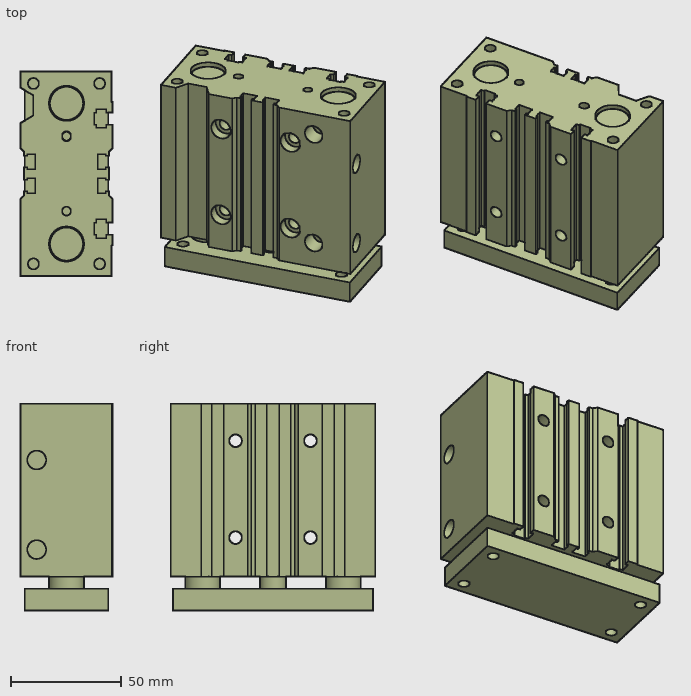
import cadquery as cq


total_height = 94.0
width = 42.0
length = 93.0
half_width = width / 2
half_length = length / 2

plate_width = 38.0
plate_length = 91.0
plate_thickness = 10.0
plate_hole_diameter = 5.2
plate_hole_x = 13.1
plate_hole_y = 38.9
guide_rod_diameter = 16.0
guide_rod_y = 32.0
guide_rod_chamfer = 0.5
guide_rod_recess = 1.9
piston_rod_diameter = 12.0

gap = 5.5
housing_base = plate_thickness + gap
housing_height = total_height - housing_base
piston_rod_end = housing_base + housing_height / 2
guide_rod_end = total_height - guide_rod_recess

end_step_depth = 0.5
end_step_y = 32.6

channel_depth = 1.7
channel_half_width = 11.6
channel_floor_x = half_width - channel_depth

sensor_slot_y = 5.45
sensor_mouth_width = 5.2
sensor_lip_x = 17.8
sensor_slot_width = 6.8
sensor_floor_x = 14.3

mount_slot_y = 25.0
mount_mouth_width = 5.45
mount_lip_x = 18.05
mount_slot_width = 8.5
mount_shoulder_x = 13.4
mount_floor_x = 12.7

groove_y = 31.0
groove_mouth_half_width = 8.1
groove_floor_half_width = 4.5
groove_floor_x = 15.0

corner_hole_diameter = 5.0
corner_hole_x = 15.0
corner_hole_y = 41.0
corner_hole_depth = 18.8
dowel_hole_diameter = 4.0
dowel_slot_length = 4.5
dowel_slot_depth = 4.7
dowel_hole_y = 17.0
dowel_hole_depth = 9.4

mount_hole_diameter = 5.6
counterbore_diameter = 9.5
counterbore_depth = 5.3
mount_hole_y = 17.0
mount_hole_drops = (16.8, 60.8)

port_diameter = 8.6
port_depth = 9.4
side_port_y = 28.5
side_port_drops = (10.4, 66.2)
end_port_x = 13.5
end_port_drops = (25.6, 66.3)


def vertical_box(x_min, x_max, y_middle, y_size):
    """Box over the full housing height, between two X planes."""
    return (
        cq.Workplane("XY", origin=((x_min + x_max) / 2, y_middle, housing_base))
        .rect(x_max - x_min, y_size)
        .extrude(housing_height)
    )


def vertical_prism(points):
    """Prism over the full housing height."""
    return cq.Workplane("XY", origin=(0, 0, housing_base)).polyline(points).close().extrude(housing_height)


def channel():
    """Shallow channel with sloping flanks in the +X face."""
    floor_half_width = channel_half_width - channel_depth
    return vertical_prism([
        (half_width, -channel_half_width),
        (channel_floor_x, -floor_half_width),
        (channel_floor_x, floor_half_width),
        (half_width, channel_half_width),
    ])


def sensor_slot(y):
    """T-slot opening into the channel of the +X face."""
    mouth = vertical_box(sensor_lip_x, channel_floor_x, y, sensor_mouth_width)
    return mouth.union(vertical_box(sensor_floor_x, sensor_lip_x, y, sensor_slot_width))


def mount_slot(y):
    """T-slot in the +X face with a relief as wide as its mouth along the floor."""
    mouth_and_relief = vertical_box(mount_floor_x, half_width, y, mount_mouth_width)
    return mouth_and_relief.union(vertical_box(mount_shoulder_x, mount_lip_x, y, mount_slot_width))


def trapezoid_groove():
    """Groove with sloping flanks in the -X face."""
    return vertical_prism([
        (-half_width, groove_y - groove_mouth_half_width),
        (-groove_floor_x, groove_y - groove_floor_half_width),
        (-groove_floor_x, groove_y + groove_floor_half_width),
        (-half_width, groove_y + groove_mouth_half_width),
    ])


def drill_x(y, drop, diameter, depth):
    """Round cutter going in along +X from the -X face."""
    return (
        cq.Workplane("YZ", origin=(-half_width, y, total_height - drop))
        .circle(diameter / 2)
        .extrude(depth)
    )


def drill_y(x, drop, diameter, depth):
    """Round cutter going in along +Y from the -Y face."""
    return (
        cq.Workplane("XZ", origin=(x, -half_length, total_height - drop))
        .circle(diameter / 2)
        .extrude(-depth)
    )


def upright_cylinder(y, diameter, z_min, z_max):
    """Vertical cylinder on the middle plane X = 0."""
    return cq.Workplane("XY", origin=(0, y, z_min)).circle(diameter / 2).extrude(z_max - z_min)


def make_housing():
    body = vertical_box(-half_width, half_width, 0, length)

    strip_width = half_length - end_step_y
    for side in (-1, 1):
        strip_y = side * (end_step_y + half_length) / 2
        body = body.cut(vertical_box(half_width - end_step_depth, half_width, strip_y, strip_width))

    sensor_cut = channel()
    for y in (-sensor_slot_y, sensor_slot_y):
        sensor_cut = sensor_cut.union(sensor_slot(y))
    body = body.cut(sensor_cut).cut(sensor_cut.mirror("YZ"))

    for y in (-mount_slot_y, mount_slot_y):
        body = body.cut(mount_slot(y))
    body = body.cut(trapezoid_groove())

    for y in (-guide_rod_y, guide_rod_y):
        body = body.cut(upright_cylinder(y, guide_rod_diameter, housing_base, total_height))
    body = body.cut(upright_cylinder(0, piston_rod_diameter, housing_base, piston_rod_end))

    top = cq.Workplane("XY", origin=(0, 0, total_height))
    corner_holes = (
        top.rect(2 * corner_hole_x, 2 * corner_hole_y, forConstruction=True)
        .vertices()
        .circle(corner_hole_diameter / 2)
        .extrude(-corner_hole_depth)
    )
    dowel_holes = (
        top.pushPoints([(0, -dowel_hole_y), (0, dowel_hole_y)])
        .circle(dowel_hole_diameter / 2)
        .extrude(-dowel_hole_depth)
    )
    dowel_slot = (
        top.center(0, dowel_hole_y)
        .slot2D(dowel_slot_length, dowel_hole_diameter, 90)
        .extrude(-dowel_slot_depth)
    )
    body = body.cut(corner_holes).cut(dowel_holes).cut(dowel_slot)

    for drop in mount_hole_drops:
        for y in (-mount_hole_y, mount_hole_y):
            body = body.cut(drill_x(y, drop, mount_hole_diameter, width))
            body = body.cut(drill_x(y, drop, counterbore_diameter, counterbore_depth))

    for drop in side_port_drops:
        body = body.cut(drill_x(-side_port_y, drop, port_diameter, port_depth))
    for drop in end_port_drops:
        body = body.cut(drill_y(-end_port_x, drop, port_diameter, port_depth))
    return body


def make_rod_plate():
    plate = (
        cq.Workplane("XY")
        .rect(plate_width, plate_length)
        .extrude(plate_thickness)
        .faces(">Z")
        .workplane()
        .rect(2 * plate_hole_x, 2 * plate_hole_y, forConstruction=True)
        .vertices()
        .hole(plate_hole_diameter)
    )
    plate = plate.union(upright_cylinder(0, piston_rod_diameter, plate_thickness, piston_rod_end))
    for y in (-guide_rod_y, guide_rod_y):
        rod = upright_cylinder(y, guide_rod_diameter, plate_thickness, guide_rod_end)
        plate = plate.union(rod.faces(">Z").chamfer(guide_rod_chamfer))
    return plate


housing = make_housing()
rod_plate = make_rod_plate()

result = cq.Compound.makeCompound([housing.val(), rod_plate.val()])